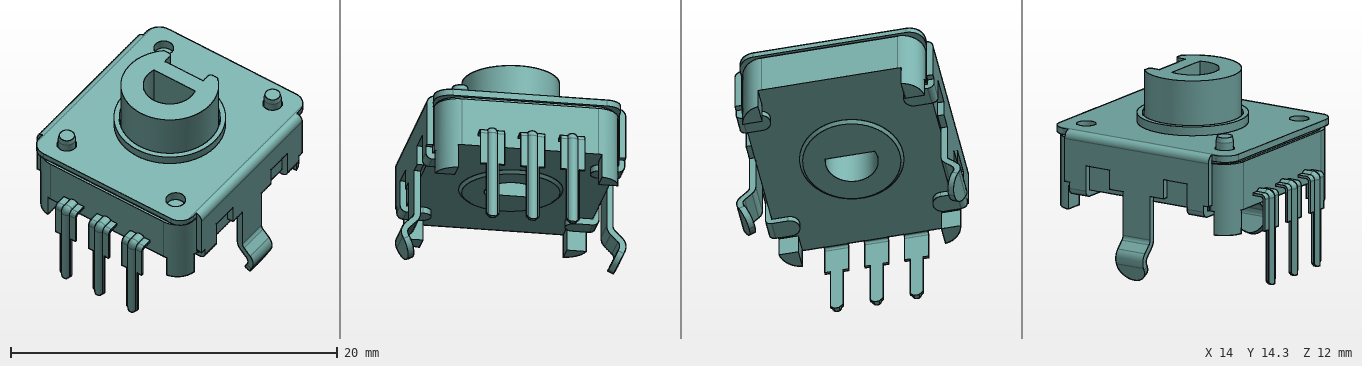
import cadquery as cq
import math


round_end_flat = 0.01

body_x = 11.42
body_y = 13.2
body_corner_r = 1.45
body_bottom_z = 1.5
body_top_z = 4.53
side_pad_y = 10.16
standoff_size = 1.23

insulator_x = 11.2
insulator_y = 12.8
insulator_corner_r = 1.5
peg_x = 4.1
peg_y = 5.1
peg_dia = 1.07
peg_tip_dia = 0.93
peg_shoulder_z = 5.59
peg_top_z = 5.9

sheet = 0.4
cover_inner_x = 11.6
cover_outer_x = cover_inner_x + 2 * sheet
cover_y = body_y
cover_corner_r = 1.0
cover_top_z = 5.13
cover_under_z = cover_top_z - sheet
cover_bend_r = 0.5
peg_hole_dia = 1.2
skirt_y = 10.6
skirt_bottom_z = 1.9
window_near_y = 2.0
window_far_y = 3.73
window_top_z = 3.12
tab_far_y = 4.95
tab_inner_x = 4.18
tab_end_r = (tab_far_y - window_far_y) / 2 - round_end_flat

collar_dia = 6.85
collar_bore = 6.2
collar_top_z = 5.69
shaft_dia = 6.0
shaft_step_z = 5.9
shaft_top_z = 8.5
shaft_flat_y = 2.22
slot_width = 2.88
slot_floor_y = 1.5
slot_lip_r = 0.2
d_bore_dia = 3.25
d_bore_flat_y = 0.5

disc_dia = 6.4
disc_bottom_z = 1.3
disc_chamfer = 0.19

leg_width = 2.0
leg_straight_end_z = -0.87
leg_out_angle = 45
leg_in_angle = 26
leg_concave_r = 0.4
leg_diagonal = 0.645
leg_nose_r = 0.79
leg_tip_length = 1.128
leg_tip_round_r = leg_width / 2 - round_end_flat

terminal_pitch = 2.5
terminal_sheet = 0.15
terminal_width = 0.8
terminal_end_chamfer = 0.24
terminal_shoulder_width = 1.5
terminal_shoulder_bottom_z = 0.0
terminal_bottom_z = -3.5
terminal_top_z = 2.31
terminal_bend_r = 0.3
terminal_face_y = -7.5
terminal_root_y = -6.0
ridge_width = 0.6
ridge_height = 0.15


def slab(size_x, size_y, z_low, z_high):
    """Box centred on the Z axis between two heights."""
    return cq.Workplane("XY").workplane(offset=z_low).rect(size_x, size_y).extrude(z_high - z_low)


def cylinder(diameter, z_low, z_high):
    return cq.Workplane("XY").workplane(offset=z_low).circle(diameter / 2).extrude(z_high - z_low)


def block(x_range, y_range, z_range):
    """Box given by its limits along each axis."""
    low = (x_range[0], y_range[0], z_range[0])
    sizes = [high - start for start, high in (x_range, y_range, z_range)]
    return cq.Workplane("XY").box(*sizes, centered=False).translate(low)


def both_sides(shape):
    """Shape together with its mirror image across the YZ plane."""
    return shape.union(shape.mirror("YZ"))


def make_body():
    envelope = slab(body_x, body_y, 0, body_top_z).edges("|Z").fillet(body_corner_r)
    under_x = slab(body_x - 2 * standoff_size, body_y, 0, body_bottom_z)
    under_y = slab(body_x, body_y - 2 * standoff_size, 0, body_bottom_z)
    side_pads = slab(cover_inner_x, side_pad_y, body_bottom_z, body_top_z)
    return envelope.cut(under_x).cut(under_y).union(side_pads)


def make_peg_holes(z_low, z_high):
    """Four clearance holes; two of them take pegs and two stay open."""
    return (
        cq.Workplane("XY", origin=(0, 0, z_low))
        .pushPoints([(x * peg_x, y * peg_y) for x in (-1, 1) for y in (-1, 1)])
        .circle(peg_hole_dia / 2)
        .extrude(z_high - z_low)
    )


def make_insulator():
    sheet_part = slab(insulator_x, insulator_y, body_top_z, cover_under_z)
    sheet_part = sheet_part.edges("|Z").fillet(insulator_corner_r)
    return sheet_part.cut(make_peg_holes(body_top_z, cover_under_z))


def make_pegs():
    profile = [
        (0, body_top_z),
        (peg_dia / 2, body_top_z),
        (peg_dia / 2, peg_shoulder_z),
        (peg_tip_dia / 2, peg_top_z),
        (0, peg_top_z),
    ]
    peg = cq.Workplane("XZ").polyline(profile).close().revolve(360, (0, 0, 0), (0, 1, 0))
    return peg.translate((-peg_x, -peg_y, 0)).union(peg.translate((peg_x, peg_y, 0)))


def make_cover():
    """Top plate with skirts folded down over both sides, pierced by the peg holes."""
    channel = slab(cover_outer_x, cover_y, skirt_bottom_z, cover_top_z)
    channel = channel.edges("|Y and >Z").fillet(cover_bend_r)
    channel = channel.cut(slab(cover_inner_x, cover_y, skirt_bottom_z, cover_under_z))
    outline = slab(cover_inner_x, cover_y, skirt_bottom_z, cover_top_z)
    outline = outline.edges("|Z").fillet(cover_corner_r)
    outline = outline.union(slab(cover_outer_x, skirt_y, skirt_bottom_z, cover_top_z))
    cover = channel.intersect(outline)

    window_y = (window_near_y + window_far_y) / 2
    windows = (
        cq.Workplane("XY", origin=(0, 0, skirt_bottom_z))
        .pushPoints([(0, -window_y), (0, window_y)])
        .rect(cover_outer_x, window_far_y - window_near_y)
        .extrude(window_top_z - skirt_bottom_z)
    )
    holes = make_peg_holes(cover_under_z, cover_top_z)
    bore = cylinder(collar_bore, cover_under_z, cover_top_z)
    return cover.cut(windows).cut(holes).cut(bore)


def make_tabs():
    """Four tabs running down from the skirts and folded under the body."""
    tabs = cq.Workplane("XY")
    tab_outer_x = cover_outer_x / 2
    tab_bottom_z = body_bottom_z - sheet
    for y_range in ((window_far_y, tab_far_y), (-tab_far_y, -window_far_y)):
        tab = block((tab_inner_x, tab_outer_x), y_range, (tab_bottom_z, skirt_bottom_z))
        tab = tab.edges("|Y and >X and <Z").fillet(sheet)
        tab = tab.edges("|Z and <X").fillet(tab_end_r)
        under_body = block((tab_inner_x, cover_inner_x / 2), y_range, (body_bottom_z, skirt_bottom_z))
        tabs = tabs.union(tab.cut(under_body))
    return both_sides(tabs)


def make_leg():
    """Snap-in leg on the +X side: straight, bent outward, then curved back inward."""
    outer_x = cover_outer_x / 2
    out_angle = math.radians(leg_out_angle)
    in_angle = math.radians(leg_in_angle)

    def point_on(centre, radius, angle):
        """Point at an angle above +X around a centre."""
        return (centre[0] + radius * math.cos(angle), centre[1] + radius * math.sin(angle))

    knee = (outer_x + leg_concave_r, leg_straight_end_z)
    knee_end_angle = math.pi + out_angle
    diagonal_start = point_on(knee, leg_concave_r, knee_end_angle)
    nose_start = (
        diagonal_start[0] + leg_diagonal * math.sin(out_angle),
        diagonal_start[1] - leg_diagonal * math.cos(out_angle),
    )
    nose = point_on(nose_start, -leg_nose_r, out_angle)
    knee_middle_angle = math.pi + out_angle / 2
    nose_middle_angle = (out_angle - in_angle) / 2

    def tip(start):
        return (
            start[0] - leg_tip_length * math.sin(in_angle),
            start[1] - leg_tip_length * math.cos(in_angle),
        )

    knee_far_r = leg_concave_r + sheet
    nose_near_r = leg_nose_r - sheet
    leg = (
        cq.Workplane("XZ", origin=(0, leg_width / 2, 0))
        .moveTo(outer_x, skirt_bottom_z)
        .lineTo(outer_x, leg_straight_end_z)
        .threePointArc(point_on(knee, leg_concave_r, knee_middle_angle), diagonal_start)
        .lineTo(*nose_start)
        .threePointArc(point_on(nose, leg_nose_r, nose_middle_angle), point_on(nose, leg_nose_r, -in_angle))
        .lineTo(*tip(point_on(nose, leg_nose_r, -in_angle)))
        .lineTo(*tip(point_on(nose, nose_near_r, -in_angle)))
        .lineTo(*point_on(nose, nose_near_r, -in_angle))
        .threePointArc(point_on(nose, nose_near_r, nose_middle_angle), point_on(nose, nose_near_r, out_angle))
        .lineTo(*point_on(knee, knee_far_r, knee_end_angle))
        .threePointArc(point_on(knee, knee_far_r, knee_middle_angle), (outer_x - sheet, leg_straight_end_z))
        .lineTo(outer_x - sheet, skirt_bottom_z)
        .close()
        .extrude(leg_width)
    )
    tip_face = cq.Vector(-math.sin(in_angle), 0, -math.cos(in_angle))
    across_sheet = cq.Vector(math.cos(in_angle), 0, -math.sin(in_angle))
    tip_corners = leg.faces(cq.selectors.DirectionMinMaxSelector(tip_face)).edges(
        cq.selectors.ParallelDirSelector(across_sheet)
    )
    return leg.newObject(tip_corners.vals()).fillet(leg_tip_round_r)


def make_collar():
    return cylinder(collar_dia, cover_under_z, collar_top_z).cut(
        cylinder(collar_bore, cover_under_z, collar_top_z)
    )


def make_shaft():
    """Round shaft, flattened on +Y above the step and slotted across the flat."""
    shaft = cylinder(shaft_dia, body_top_z, shaft_top_z)
    half_slot = slot_width / 2
    reach = shaft_dia
    relief = (
        cq.Workplane("XY", origin=(0, 0, shaft_step_z))
        .moveTo(-reach, shaft_flat_y)
        .lineTo(-half_slot - slot_lip_r, shaft_flat_y)
        .tangentArcPoint((-half_slot, shaft_flat_y - slot_lip_r), relative=False)
        .lineTo(-half_slot, slot_floor_y)
        .lineTo(half_slot, slot_floor_y)
        .lineTo(half_slot, shaft_flat_y - slot_lip_r)
        .tangentArcPoint((half_slot + slot_lip_r, shaft_flat_y), relative=False)
        .lineTo(reach, shaft_flat_y)
        .lineTo(reach, reach)
        .lineTo(-reach, reach)
        .close()
        .extrude(shaft_top_z - shaft_step_z)
    )
    return shaft.cut(relief)


def make_d_bore():
    """D-shaped hole running through the whole part along the shaft axis."""
    bore = cylinder(d_bore_dia, disc_bottom_z, shaft_top_z)
    radius = d_bore_dia / 2
    return bore.cut(block((-radius, radius), (d_bore_flat_y, radius), (disc_bottom_z, shaft_top_z)))


def make_disc():
    return cylinder(disc_dia, disc_bottom_z, body_bottom_z).faces("<Z").chamfer(disc_chamfer)


def make_terminal():
    """Terminal at X = 0: a strip leaving the body, bent down, with a raised round ridge."""
    bend_y = terminal_face_y + terminal_bend_r
    bend_z = terminal_top_z - terminal_bend_r
    inner_r = terminal_bend_r - terminal_sheet
    sin_45 = math.sin(math.radians(45))
    strip = (
        cq.Workplane("YZ", origin=(-terminal_shoulder_width / 2, 0, 0))
        .moveTo(terminal_root_y, terminal_top_z)
        .lineTo(bend_y, terminal_top_z)
        .threePointArc(
            (bend_y - terminal_bend_r * sin_45, bend_z + terminal_bend_r * sin_45),
            (terminal_face_y, bend_z),
        )
        .lineTo(terminal_face_y, terminal_bottom_z)
        .lineTo(terminal_face_y + terminal_sheet, terminal_bottom_z)
        .lineTo(terminal_face_y + terminal_sheet, bend_z)
        .threePointArc(
            (bend_y - inner_r * sin_45, bend_z + inner_r * sin_45),
            (bend_y, terminal_top_z - terminal_sheet),
        )
        .lineTo(terminal_root_y, terminal_top_z - terminal_sheet)
        .close()
        .extrude(terminal_shoulder_width)
    )

    half_ridge = ridge_width / 2
    arch = (
        cq.Sketch()
        .segment((-half_ridge, 0), (half_ridge, 0))
        .arc((half_ridge, 0), (0, ridge_height), (-half_ridge, 0))
        .assemble()
    )
    bend_section = cq.Workplane("XZ", origin=(0, bend_y, terminal_top_z)).placeSketch(arch)
    level = bend_section.extrude(bend_y - terminal_root_y)
    elbow = bend_section.revolve(90, (0, -terminal_bend_r, 0), (1, -terminal_bend_r, 0))
    upright = (
        cq.Workplane("XY", origin=(0, terminal_face_y, terminal_bottom_z))
        .moveTo(half_ridge, 0)
        .threePointArc((0, -ridge_height), (-half_ridge, 0))
        .close()
        .extrude(bend_z - terminal_bottom_z)
    )
    blank = strip.union(upright).union(level).union(elbow)

    half_pin = terminal_width / 2
    half_shoulder = terminal_shoulder_width / 2
    half_end = half_pin - terminal_end_chamfer
    front_outline = (
        cq.Workplane("XZ", origin=(0, terminal_root_y, 0))
        .polyline(
            [
                (half_shoulder, body_top_z),
                (half_shoulder, terminal_shoulder_bottom_z),
                (half_pin, terminal_shoulder_bottom_z),
                (half_pin, terminal_bottom_z + terminal_end_chamfer),
                (half_end, terminal_bottom_z),
                (-half_end, terminal_bottom_z),
                (-half_pin, terminal_bottom_z + terminal_end_chamfer),
                (-half_pin, terminal_shoulder_bottom_z),
                (-half_shoulder, terminal_shoulder_bottom_z),
                (-half_shoulder, body_top_z),
            ]
        )
        .close()
        .extrude(terminal_root_y - terminal_face_y + ridge_height)
    )
    return blank.intersect(front_outline)


result = make_body()
for feature in (
    make_insulator(),
    make_pegs(),
    make_cover(),
    make_tabs(),
    both_sides(make_leg()),
    make_collar(),
    make_shaft(),
    make_disc(),
):
    result = result.union(feature)
terminal = make_terminal()
for position in (-1, 0, 1):
    result = result.union(terminal.translate((position * terminal_pitch, 0, 0)))
result = result.cut(make_d_bore())